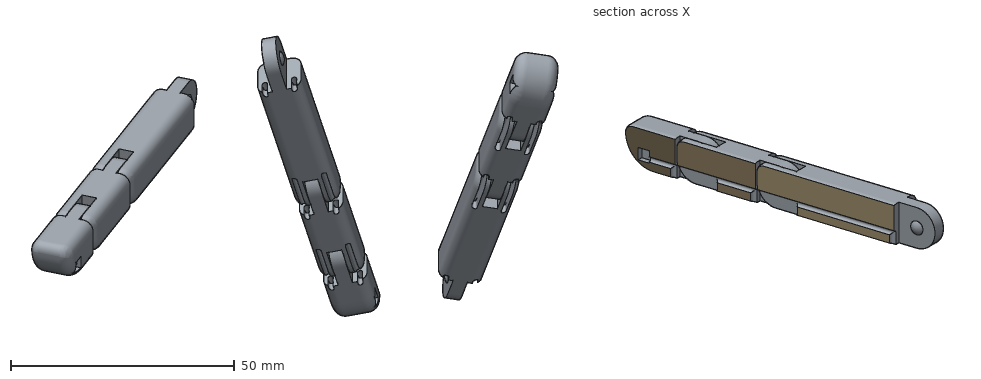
import cadquery as cq
LENGTH = 84.3
WIDTH = 10.0
HEIGHT = WIDTH
KNUCKLE_END = LENGTH / 2
TIP_END = -LENGTH / 2

TONGUE_LENGTH = 9.95
TONGUE_WIDTH = 3.3
TONGUE_RADIUS = HEIGHT / 2
SLOT_WIDTH = 3.45
END_GAP = 0.2
PIVOT_OFFSET = TONGUE_LENGTH - TONGUE_RADIUS
SLOT_DEPTH = TONGUE_LENGTH
TONGUE_ROOT = 0.85
BUMP_DIAMETER = 3.4
BUMP_HEIGHT = 0.7
BUMP_RADIUS = ((BUMP_DIAMETER / 2) ** 2 + BUMP_HEIGHT**2) / (2 * BUMP_HEIGHT)

PROXIMAL_PITCH = 38.3
MIDDLE_PITCH = 22.1
PROXIMAL_SHOULDER = KNUCKLE_END - TONGUE_LENGTH
MIDDLE_SHOULDER = PROXIMAL_SHOULDER - PROXIMAL_PITCH
TIP_SHOULDER = MIDDLE_SHOULDER - MIDDLE_PITCH

SIDE_FILLET = 2.5
FRONT_TOP_RADIUS = 2.0
CLEVIS_ARC_RADIUS = HEIGHT / 2
TIP_ARC_RADIUS = 8.0

CORD_DIAMETER = 1.2
CORD_OFFSET_X = 3.4
CORD_Z = -2.1
SHOULDER_GROOVE = 1.3
CLEVIS_GROOVE = 11.3
POCKET_SIZE = 2.95
POCKET_DEPTH = 2.95
POCKET_TIP_DISTANCE = 3.8

SIDES = (-1, 1)


def box(width, y_min, y_max, z_min, z_max, x_center=0.0):
    """Axis-aligned block given by its X width and centre and its Y and Z limits."""
    block = cq.Workplane().box(width, y_max - y_min, z_max - z_min)
    return block.translate((x_center, (y_min + y_max) / 2, (z_min + z_max) / 2))


def rounded_body(shoulder_y, front_y, arc_radius):
    """Full-width bar from its shoulder to a front end with a large arc below and a small one on top."""
    top = HEIGHT / 2
    outline = (
        cq.Workplane("YZ")
        .moveTo(shoulder_y, -top)
        .lineTo(front_y + arc_radius, -top)
        .radiusArc((front_y, arc_radius - top), arc_radius)
    )
    if arc_radius + FRONT_TOP_RADIUS < HEIGHT:
        outline = outline.lineTo(front_y, top - FRONT_TOP_RADIUS)
    bar = (
        outline.radiusArc((front_y + FRONT_TOP_RADIUS, top), FRONT_TOP_RADIUS)
        .lineTo(shoulder_y, top)
        .close()
        .extrude(WIDTH / 2, both=True)
    )
    return bar.faces("<X or >X").edges("not >Y").fillet(SIDE_FILLET)


def bump(pivot_y, side):
    """Domed stub on the pivot axis, from the tongue's mid-plane out past one of its sides."""
    return (
        cq.Workplane("XY", origin=(0, pivot_y, 0))
        .lineTo(0, BUMP_DIAMETER / 2)
        .lineTo(side * TONGUE_WIDTH / 2, BUMP_DIAMETER / 2)
        .radiusArc((side * (TONGUE_WIDTH / 2 + BUMP_HEIGHT), 0), side * BUMP_RADIUS)
        .close()
        .revolve(360, (0, 0, 0), (1, 0, 0))
    )


def bump_pair(pivot_y):
    """Both pivot bumps of a tongue."""
    return bump(pivot_y, -1).union(bump(pivot_y, 1))


def tongue(shoulder_y):
    """Round-ended tongue ahead of a shoulder, with a pivot bump on each side."""
    pivot_y = shoulder_y + PIVOT_OFFSET
    root = box(TONGUE_WIDTH, shoulder_y - TONGUE_ROOT, pivot_y, -HEIGHT / 2, HEIGHT / 2)
    eye = cq.Workplane("YZ").center(pivot_y, 0).circle(TONGUE_RADIUS).extrude(TONGUE_WIDTH / 2, both=True)
    return root.union(eye).union(bump_pair(pivot_y))


def clevis_cut(front_y):
    """Open slot in a clevis end, with a dimple for each bump of the tongue that sits in it."""
    slot = box(SLOT_WIDTH, front_y - END_GAP, front_y + SLOT_DEPTH, -HEIGHT / 2, HEIGHT / 2)
    return slot.union(bump_pair(front_y - END_GAP + PIVOT_OFFSET))


def cord_groove(closed_y, open_y, side):
    """Groove in the underside up to the cord channel, half-round at its closed end."""
    center_x = side * CORD_OFFSET_X
    depth = CORD_Z + HEIGHT / 2
    end = closed_y + CORD_DIAMETER / 2 if closed_y < open_y else closed_y - CORD_DIAMETER / 2
    run = box(CORD_DIAMETER, min(end, open_y), max(end, open_y), -HEIGHT / 2, CORD_Z, center_x)
    round_end = (
        cq.Workplane("XY", origin=(center_x, end, -HEIGHT / 2)).circle(CORD_DIAMETER / 2).extrude(depth)
    )
    return run.union(round_end)


def cord_channel(y_min, y_max, side):
    """Round cord hole running lengthwise."""
    return (
        cq.Workplane("XZ", origin=(side * CORD_OFFSET_X, y_max, CORD_Z))
        .circle(CORD_DIAMETER / 2)
        .extrude(y_max - y_min)
    )


def knot_pocket(side):
    """Square blind pocket in one side of the fingertip, where a cord end is tied."""
    y_min = TIP_END + POCKET_TIP_DISTANCE
    center_x = side * (WIDTH - POCKET_DEPTH) / 2
    return box(POCKET_DEPTH, y_min, y_min + POCKET_SIZE, -POCKET_SIZE, 0, center_x)


def segment(shoulder_y, front_y):
    """Phalanx with a tongue at the knuckle end and a clevis at the front end."""
    body = rounded_body(shoulder_y, front_y, CLEVIS_ARC_RADIUS)
    body = body.union(tongue(shoulder_y)).cut(clevis_cut(front_y))
    for side in SIDES:
        body = body.cut(cord_channel(front_y, shoulder_y, side))
        body = body.cut(cord_groove(shoulder_y - SHOULDER_GROOVE, shoulder_y, side))
        body = body.cut(cord_groove(front_y + CLEVIS_GROOVE, front_y, side))
    return body


def fingertip(shoulder_y):
    """Last phalanx: tongue at the knuckle end, blunt rounded tip with two knot pockets."""
    body = rounded_body(shoulder_y, TIP_END, TIP_ARC_RADIUS).union(tongue(shoulder_y))
    channel_start = TIP_END + POCKET_TIP_DISTANCE + POCKET_SIZE / 2
    for side in SIDES:
        body = body.cut(cord_channel(channel_start, shoulder_y, side))
        body = body.cut(cord_groove(shoulder_y - SHOULDER_GROOVE, shoulder_y, side))
        body = body.cut(knot_pocket(side))
    return body


proximal_phalanx = segment(PROXIMAL_SHOULDER, MIDDLE_SHOULDER + END_GAP)
middle_phalanx = segment(MIDDLE_SHOULDER, TIP_SHOULDER + END_GAP)
distal_phalanx = fingertip(TIP_SHOULDER)

result = cq.Compound.makeCompound([proximal_phalanx.val(), middle_phalanx.val(), distal_phalanx.val()])